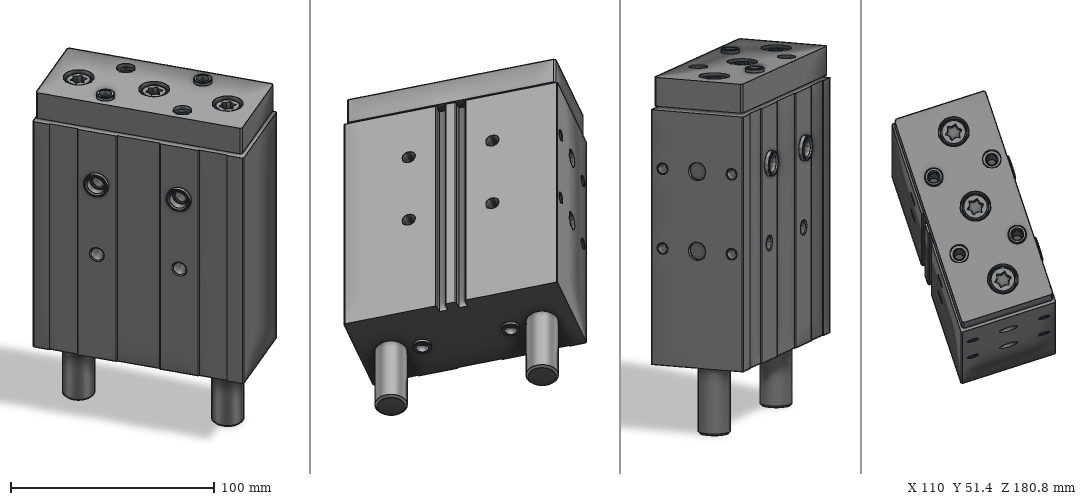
import cadquery as cq
import math

TOTAL_HEIGHT = 180.8
TOP_Z = TOTAL_HEIGHT / 2
BOTTOM_Z = -TOTAL_HEIGHT / 2

SMALL_SLEEVE_OUTER = 9.0
SMALL_SLEEVE_BORE = 6.1
SMALL_SLEEVE_LENGTH = 4.0
SMALL_SLEEVE_STAND = 1.8
LARGE_SLEEVE_OUTER = 12.5
LARGE_SLEEVE_BORE = 9.0
LARGE_SLEEVE_LENGTH = 5.0
LARGE_SLEEVE_STAND = 2.4
SLEEVE_CHAMFER = 0.4
LARGE_BORE_FLARE = 0.7
SMALL_SEAT_DEPTH = SMALL_SLEEVE_LENGTH - SMALL_SLEEVE_STAND
LARGE_SEAT_DEPTH = LARGE_SLEEVE_LENGTH - LARGE_SLEEVE_STAND

YOKE_WIDTH = 107.4
YOKE_DEPTH = 47.0
YOKE_THICKNESS = 14.5
YOKE_CHAMFER = 0.9
YOKE_TOP_Z = TOP_Z - SMALL_SLEEVE_STAND
YOKE_BOTTOM_Z = YOKE_TOP_Z - YOKE_THICKNESS

HOUSING_WIDTH = 110.0
HOUSING_DEPTH = 49.0
HOUSING_HEIGHT = 127.6
HOUSING_CHAMFER = 0.5
YOKE_GAP = 1.6
HOUSING_TOP_Z = YOKE_BOTTOM_Z - YOKE_GAP
HOUSING_BOTTOM_Z = HOUSING_TOP_Z - HOUSING_HEIGHT
HOUSING_LEFT_X = -HOUSING_WIDTH / 2
FRONT_Y = -HOUSING_DEPTH / 2
BACK_Y = HOUSING_DEPTH / 2

CHANNEL_DEPTH = 0.5
INNER_CHANNEL_HALF = 11.5
OUTER_CHANNEL_INNER_X = 31.3
OUTER_CHANNEL_OUTER_X = 46.3

SLOT_X = 5.0
SLOT_WIDTH = 4.3
SLOT_MOUTH = 5.6
SLOT_DEPTH = 4.7

MOUNT_X = 21.5
UPPER_Z = 43.4
ROW_SPACING = 40.0
ROWS_Z = [UPPER_Z, UPPER_Z - ROW_SPACING]
MOUNT_HOLE = 6.7
MOUNT_MOUTH = 7.8

SIDE_HOLE = 5.0
SIDE_HOLE_MOUTH = 5.8
SIDE_HOLE_Y = 18.5
SIDE_HOLE_DEPTH = 10.0
DRILL_POINT_ANGLE = 118.0

GUIDE_DIAMETER = 16.0
GUIDE_X = 38.9
GUIDE_Y = -2.4
GUIDE_CHAMFER = 1.0
PISTON_DIAMETER = 9.8
PISTON_Y = -0.9
PISTON_INSERTION = 63.3

SCREW_COUNTERBORE = 15.0
SCREW_HEAD = 13.0
HEAD_RECESS = 1.0
COUNTERBORE_DEPTH = 6.5
SOCKET_TIP_RADIUS = 4.2
SOCKET_VALLEY_RADIUS = 2.9
SOCKET_POINTS = 6
SOCKET_DEPTH = 3.6
HEAD_CHAMFER = 0.7

YOKE_HOLE = 5.0
YOKE_HOLE_MOUTH = SMALL_SLEEVE_BORE
YOKE_HOLE_X = 20.0
YOKE_HOLE_Y = 15.0

BASE_SLEEVE_X = 22.8

guide_points = [(-GUIDE_X, GUIDE_Y), (GUIDE_X, GUIDE_Y)]
screw_points = guide_points + [(0, PISTON_Y)]
yoke_hole_points = [
    (side_x * YOKE_HOLE_X, PISTON_Y + side_y * YOKE_HOLE_Y) for side_x in (-1, 1) for side_y in (-1, 1)
]
yoke_sleeve_points = [yoke_hole_points[0], yoke_hole_points[3]]
base_sleeve_points = [(-BASE_SLEEVE_X, GUIDE_Y), (BASE_SLEEVE_X, GUIDE_Y)]

UP = cq.Vector(0, 0, 1)
DOWN = cq.Vector(0, 0, -1)
FRONTWARD = cq.Vector(0, -1, 0)
BACKWARD = cq.Vector(0, 1, 0)
INWARD_X = cq.Vector(1, 0, 0)


def cylinder(diameter, length, start, direction):
    """A cylinder that runs from the start point along the direction."""
    return cq.Workplane(cq.Solid.makeCylinder(diameter / 2, length, cq.Vector(*start), direction))


def drilled_hole(diameter, depth, start, direction):
    """A blind hole with a conical drill point."""
    point_length = diameter / 2 / math.tan(math.radians(DRILL_POINT_ANGLE / 2))
    tip_start = cq.Vector(*start) + direction * depth
    point = cq.Solid.makeCone(diameter / 2, 0, point_length, tip_start, direction)
    return cylinder(diameter, depth, start, direction).union(cq.Workplane(point))


def countersink(mouth, hole, start, direction):
    """A 45-degree countersink that narrows from the mouth to the hole diameter."""
    depth = (mouth - hole) / 2
    return cq.Workplane(cq.Solid.makeCone(mouth / 2, hole / 2, depth, cq.Vector(*start), direction))


def sensor_slot(x):
    """A straight slot with a flared mouth, running the full height of the housing."""
    flare = (SLOT_MOUTH - SLOT_WIDTH) / 2
    return (
        cq.Workplane("XY", origin=(x, BACK_Y, HOUSING_BOTTOM_Z))
        .moveTo(-SLOT_MOUTH / 2, 0)
        .lineTo(-SLOT_WIDTH / 2, -flare)
        .lineTo(-SLOT_WIDTH / 2, -SLOT_DEPTH)
        .lineTo(SLOT_WIDTH / 2, -SLOT_DEPTH)
        .lineTo(SLOT_WIDTH / 2, -flare)
        .lineTo(SLOT_MOUTH / 2, 0)
        .close()
        .extrude(HOUSING_HEIGHT)
    )


def front_channel(start_x, floor_start_x, floor_end_x, end_x):
    """A shallow channel down the front face; its walls may slope between face and floor."""
    return (
        cq.Workplane("XY", origin=(0, FRONT_Y, HOUSING_BOTTOM_Z))
        .moveTo(start_x, 0)
        .lineTo(floor_start_x, CHANNEL_DEPTH)
        .lineTo(floor_end_x, CHANNEL_DEPTH)
        .lineTo(end_x, 0)
        .close()
        .extrude(HOUSING_HEIGHT)
    )


def make_housing():
    body = (
        cq.Workplane("XY", origin=(0, 0, HOUSING_BOTTOM_Z))
        .rect(HOUSING_WIDTH, HOUSING_DEPTH)
        .extrude(HOUSING_HEIGHT)
        .edges("|Z")
        .chamfer(HOUSING_CHAMFER)
    )

    inner_floor_half = INNER_CHANNEL_HALF - CHANNEL_DEPTH
    body = body.cut(
        front_channel(-INNER_CHANNEL_HALF, -inner_floor_half, inner_floor_half, INNER_CHANNEL_HALF)
    )
    for side in (-1, 1):
        sloped_x = side * OUTER_CHANNEL_INNER_X
        sloped_floor_x = side * (OUTER_CHANNEL_INNER_X + CHANNEL_DEPTH)
        straight_x = side * OUTER_CHANNEL_OUTER_X
        body = body.cut(front_channel(sloped_x, sloped_floor_x, straight_x, straight_x))
    for x in (-SLOT_X, SLOT_X):
        body = body.cut(sensor_slot(x))

    for x in (-MOUNT_X, MOUNT_X):
        for z in ROWS_Z:
            body = body.cut(cylinder(MOUNT_HOLE, HOUSING_DEPTH, (x, FRONT_Y, z), BACKWARD))
            mouth_y = FRONT_Y + LARGE_SEAT_DEPTH if z == UPPER_Z else FRONT_Y
            body = body.cut(countersink(MOUNT_MOUTH, MOUNT_HOLE, (x, mouth_y, z), BACKWARD))
        seat_start = (x, FRONT_Y, UPPER_Z)
        body = body.cut(cylinder(LARGE_SLEEVE_OUTER, LARGE_SEAT_DEPTH, seat_start, BACKWARD))

    for z in ROWS_Z:
        for y in (-SIDE_HOLE_Y, SIDE_HOLE_Y):
            start = (HOUSING_LEFT_X, y, z)
            body = body.cut(drilled_hole(SIDE_HOLE, SIDE_HOLE_DEPTH, start, INWARD_X))
            body = body.cut(countersink(SIDE_HOLE_MOUTH, SIDE_HOLE, start, INWARD_X))
        recess_start = (HOUSING_LEFT_X, 0, z)
        body = body.cut(cylinder(SMALL_SLEEVE_OUTER, SMALL_SEAT_DEPTH, recess_start, INWARD_X))

    for x, y in guide_points:
        body = body.cut(cylinder(GUIDE_DIAMETER, HOUSING_HEIGHT, (x, y, HOUSING_BOTTOM_Z), UP))
    body = body.cut(cylinder(PISTON_DIAMETER, PISTON_INSERTION, (0, PISTON_Y, HOUSING_TOP_Z), DOWN))
    for x, y in base_sleeve_points:
        body = body.cut(cylinder(SMALL_SLEEVE_OUTER, SMALL_SEAT_DEPTH, (x, y, HOUSING_BOTTOM_Z), UP))
    return body


def screw_head_groove(x, y):
    """The space around and above a screw head, together with its star-shaped socket."""
    head_top_z = YOKE_TOP_Z - HEAD_RECESS
    head_height = COUNTERBORE_DEPTH - HEAD_RECESS
    counterbore = cylinder(SCREW_COUNTERBORE, COUNTERBORE_DEPTH, (x, y, YOKE_TOP_Z), DOWN)
    head = cylinder(SCREW_HEAD, head_height, (x, y, head_top_z), DOWN)
    head = head.faces(">Z").chamfer(HEAD_CHAMFER)
    star = []
    for i in range(2 * SOCKET_POINTS):
        radius = SOCKET_TIP_RADIUS if i % 2 == 0 else SOCKET_VALLEY_RADIUS
        angle = math.pi / 2 + i * math.pi / SOCKET_POINTS
        star.append((radius * math.cos(angle), radius * math.sin(angle)))
    socket = cq.Workplane("XY", origin=(x, y, head_top_z)).polyline(star).close().extrude(-SOCKET_DEPTH)
    return counterbore.cut(head.cut(socket))


def make_carriage():
    """The yoke plate with its two guide rods, piston rod and screw heads."""
    body = (
        cq.Workplane("XY", origin=(0, 0, YOKE_BOTTOM_Z))
        .rect(YOKE_WIDTH, YOKE_DEPTH)
        .extrude(YOKE_THICKNESS)
        .edges("|Z")
        .chamfer(YOKE_CHAMFER)
    )
    for x, y in guide_points:
        rod = cylinder(GUIDE_DIAMETER, YOKE_BOTTOM_Z - BOTTOM_Z, (x, y, BOTTOM_Z), UP)
        body = body.union(rod.faces("<Z").chamfer(GUIDE_CHAMFER))
    piston_length = YOKE_GAP + PISTON_INSERTION
    body = body.union(cylinder(PISTON_DIAMETER, piston_length, (0, PISTON_Y, YOKE_BOTTOM_Z), DOWN))

    for x, y in screw_points:
        body = body.cut(screw_head_groove(x, y))
    for x, y in yoke_hole_points:
        start = (x, y, YOKE_TOP_Z)
        body = body.cut(cylinder(SMALL_SLEEVE_OUTER, SMALL_SEAT_DEPTH, start, DOWN))
        body = body.cut(cylinder(YOKE_HOLE, YOKE_THICKNESS, start, DOWN))
        seat_floor = (x, y, YOKE_TOP_Z - SMALL_SEAT_DEPTH)
        body = body.cut(countersink(YOKE_HOLE_MOUTH, YOKE_HOLE, seat_floor, DOWN))
    return body


def make_sleeve(outer, bore, length, stand, face_point, direction):
    """A sleeve that stands out of the face at the given point along the direction."""
    start = (cq.Vector(*face_point) - direction * (length - stand)).toTuple()
    tube = cylinder(outer, length, start, direction).edges("%CIRCLE").chamfer(SLEEVE_CHAMFER)
    return tube.cut(cylinder(bore, length, start, direction))


def make_small_sleeve(x, y, z, direction):
    return make_sleeve(
        SMALL_SLEEVE_OUTER, SMALL_SLEEVE_BORE, SMALL_SLEEVE_LENGTH, SMALL_SLEEVE_STAND, (x, y, z), direction
    )


def make_large_sleeve(x):
    """A large front sleeve, its bore flared at the open end."""
    face_point = (x, FRONT_Y, UPPER_Z)
    sleeve = make_sleeve(
        LARGE_SLEEVE_OUTER, LARGE_SLEEVE_BORE, LARGE_SLEEVE_LENGTH, LARGE_SLEEVE_STAND, face_point, FRONTWARD
    )
    flare_mouth = LARGE_SLEEVE_BORE + 2 * LARGE_BORE_FLARE
    open_end = (x, FRONT_Y - LARGE_SLEEVE_STAND, UPPER_Z)
    return sleeve.cut(countersink(flare_mouth, LARGE_SLEEVE_BORE, open_end, BACKWARD))


housing = make_housing()
carriage = make_carriage()
yoke_sleeves = [make_small_sleeve(x, y, YOKE_TOP_Z, UP) for x, y in yoke_sleeve_points]
base_sleeves = [make_small_sleeve(x, y, HOUSING_BOTTOM_Z, DOWN) for x, y in base_sleeve_points]
front_sleeves = [make_large_sleeve(x) for x in (-MOUNT_X, MOUNT_X)]

bodies = [housing, carriage, *yoke_sleeves, *base_sleeves, *front_sleeves]
result = cq.Compound.makeCompound([body.val() for body in bodies])